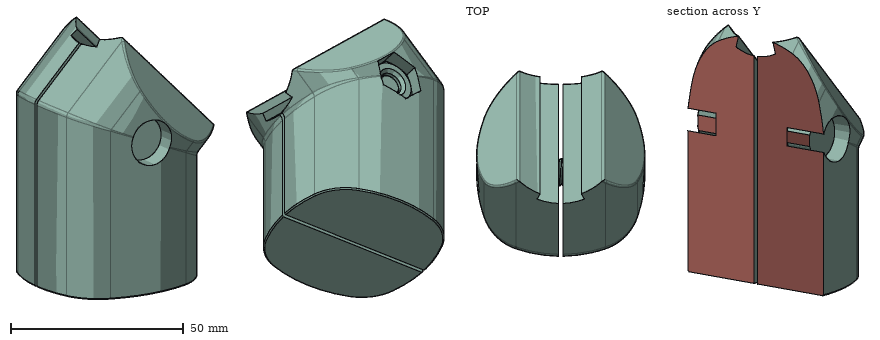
import cadquery as cq
import math

section_width = 49.0
side_arc_radius = 40.0
corner_radius = 15.0

bend_height = 46.0
bend_angle = 45.0
bend_fillet = 2.0
foot_chamfer = 0.4
split_gap = 1.2

pipe_axis_reach = 31.6
pipe_radius = 17.5
saddle_half_angle = 45.0
saddle_edge_fillet = 0.75
groove_radius = 20.0
groove_half_angle = 20.0

screw_radius = 4.0
screw_length = 30.0
screw_tip_x = -18.9
thread_pitch = 1.25
thread_core_radius = 3.55
thread_length = 22.0
thread_half_angle = 45.0
thread_overcut = 0.1
thread_start_angle = 70.0
tip_radius = 3.05
head_radius = 6.5
head_height = 8.0
head_clearance = 0.3

nut_across_flats = 13.0
nut_thickness = 6.5
nut_outer_x = -20.5
nut_face_radius = 6.4
nut_chamfer_angle = 30.0
nut_countersink_radius = 4.55
nut_turn = 15.0
nut_pocket_clearance = 0.35

bend_fillet_start = 4.0

beyond = 240.0
head_stock = 60.0
tolerance = 1e-3

half_width = section_width / 2
head_seat_x = screw_tip_x + screw_length
nut_seat_x = nut_outer_x + nut_thickness
bend_rad = math.radians(bend_angle)
head_axis = cq.Vector(0, math.sin(bend_rad), math.cos(bend_rad))
miter_normal = cq.Vector(0, math.sin(bend_rad / 2), math.cos(bend_rad / 2))
pipe_axis = cq.Vector(1, 0, 0).cross(head_axis)
elbow = cq.Vector(0, 0, bend_height)

ground = cq.Plane.XY()
miter_plane = cq.Plane(origin=elbow, xDir=(1, 0, 0), normal=miter_normal)
head_plane = cq.Plane(origin=elbow, xDir=(1, 0, 0), normal=head_axis)
saddle_plane = cq.Plane(origin=elbow, xDir=(1, 0, 0), normal=pipe_axis)


def polar(radius, angle):
    """Coordinates of a point at an angle in degrees."""
    return radius * math.cos(math.radians(angle)), radius * math.sin(math.radians(angle))


def quarter_turned(point, turns):
    """Point turned about the section centre by whole quarter turns."""
    x, y = point
    for _ in range(turns):
        x, y = -y, x
    return x, y


def section(plane):
    """Closed squircle outline: four shallow side arcs joined by tangent corner arcs."""
    side_offset = side_arc_radius - half_width
    centre_distance = side_arc_radius - corner_radius
    corner = (math.sqrt(2 * centre_distance**2 - side_offset**2) - side_offset) / 2
    side_half_angle = math.asin(corner / centre_distance)
    join_along = side_arc_radius * math.sin(side_half_angle)
    join_out = side_arc_radius * math.cos(side_half_angle) - side_offset
    corner_mid = corner + corner_radius * math.sqrt(0.5)

    outline = cq.Workplane(plane).moveTo(join_out, -join_along)
    for turns in range(4):
        side_mid = quarter_turned((half_width, 0), turns)
        side_end = quarter_turned((join_out, join_along), turns)
        corner_middle = quarter_turned((corner_mid, corner_mid), turns)
        corner_end = quarter_turned((join_along, join_out), turns)
        outline = outline.threePointArc(side_mid, side_end).threePointArc(corner_middle, corner_end)
    return outline.close()


def bent_block():
    """Upright and tilted prisms meeting on the miter plane."""
    above_miter = cq.Workplane(miter_plane).rect(beyond, beyond).extrude(beyond)
    below_miter = cq.Workplane(miter_plane).rect(beyond, beyond).extrude(-beyond)
    upright = section(ground).extrude(bend_height + head_stock).cut(above_miter)
    upright = upright.faces("<Z").chamfer(foot_chamfer)
    tilted = section(head_plane).extrude(head_stock, both=True).cut(below_miter)
    return upright.union(tilted)


def on_miter(edge):
    """True when the whole edge lies in the miter plane."""
    return all(abs(miter_plane.toLocalCoords(edge.positionAt(t)).z) < tolerance for t in (0, 0.5, 1))


def rounded_bend(block):
    """Round the outer bend edge and fill the inner one."""
    rounded = block.intersect(cq.Workplane().box(beyond, 2 * bend_fillet_start, 2 * beyond))
    for side in (-1, 1):
        slab = cq.Workplane().box(beyond, beyond, 2 * beyond)
        slab = slab.translate((0, side * (beyond / 2 + bend_fillet_start), 0))
        portion = block.intersect(slab)
        bend_edges = [edge for edge in portion.edges("%ELLIPSE").vals() if on_miter(edge)]
        rounded = rounded.union(portion.newObject(bend_edges).fillet(bend_fillet))
    return rounded


def saddle_cutter():
    """Quarter of the pipe with the space above its two radial faces."""
    edge_x, edge_drop = polar(pipe_radius, 90 - saddle_half_angle)
    far_x, far_drop = polar(beyond, 90 - saddle_half_angle)
    return (
        cq.Workplane(saddle_plane)
        .moveTo(-far_x, pipe_axis_reach - far_drop)
        .lineTo(-edge_x, pipe_axis_reach - edge_drop)
        .threePointArc((0, pipe_axis_reach - pipe_radius), (edge_x, pipe_axis_reach - edge_drop))
        .lineTo(far_x, pipe_axis_reach - far_drop)
        .lineTo(far_x, beyond)
        .lineTo(-far_x, beyond)
        .close()
        .extrude(beyond, both=True)
    )


def groove_cutter():
    """Shallow channel with radial walls along the bottom of the saddle."""
    outer_x, outer_drop = polar(groove_radius, 90 - groove_half_angle)
    return (
        cq.Workplane(saddle_plane)
        .moveTo(0, pipe_axis_reach)
        .lineTo(-outer_x, pipe_axis_reach - outer_drop)
        .threePointArc((0, pipe_axis_reach - groove_radius), (outer_x, pipe_axis_reach - outer_drop))
        .close()
        .extrude(beyond, both=True)
    )


def saddled_block():
    """Bent block with the pipe saddle, its rounded rims and its groove."""
    block = rounded_bend(bent_block()).cut(saddle_cutter())
    side_lean = math.cos(math.radians(saddle_half_angle))
    flat_faces = block.faces("%PLANE").vals()
    radial_faces = [face for face in flat_faces if abs(abs(face.normalAt().x) - side_lean) < tolerance]
    rims = [edge for face in radial_faces for edge in face.Edges()]
    return block.newObject(rims).fillet(saddle_edge_fillet).cut(groove_cutter())


def along_screw(x):
    """Workplane square to the screw axis, facing +X."""
    return cq.Workplane(cq.Plane(origin=(x, 0, bend_height), xDir=(0, 1, 0), normal=(1, 0, 0)))


def nut_prism(x, across_flats, length):
    """Hexagonal prism starting at x."""
    corner_diameter = across_flats / math.cos(math.pi / 6)
    outline = along_screw(x).transformed(rotate=(0, 0, nut_turn)).polygon(6, corner_diameter)
    return outline.extrude(length)


def shell_halves():
    """The two halves of the block: -X takes the nut, +X takes the screw head."""
    block = saddled_block()
    block = block.cut(cq.Workplane().box(split_gap, beyond, beyond))
    block = block.cut(along_screw(-beyond / 2).circle(screw_radius).extrude(beyond))
    pocket_flats = nut_across_flats + 2 * nut_pocket_clearance
    block = block.cut(nut_prism(nut_seat_x, pocket_flats, -beyond))
    block = block.cut(along_screw(head_seat_x).circle(head_radius + head_clearance).extrude(beyond))
    return block.solids("<X"), block.solids(">X")


def thread_groove():
    """Helical V groove, entering before the tip."""
    depth = screw_radius - thread_core_radius
    half_opening = depth * math.tan(math.radians(thread_half_angle))
    crest = screw_radius + thread_overcut
    crest_opening = half_opening * (depth + thread_overcut) / depth
    helix = cq.Wire.makeHelix(thread_pitch, thread_length + thread_pitch, screw_radius)
    groove = (
        cq.Workplane("XZ")
        .polyline([(thread_core_radius, 0), (crest, crest_opening), (crest, -crest_opening)])
        .close()
        .sweep(cq.Workplane(helix), isFrenet=True)
    )
    groove = groove.rotate((0, 0, 0), (0, 0, 1), thread_start_angle)
    start = along_screw(screw_tip_x - thread_pitch).plane
    return cq.Workplane(groove.val().located(start.location))


def clamping_screw():
    """Threaded shank with a chamfered tip and a plain round head."""
    shank = along_screw(screw_tip_x).circle(screw_radius).extrude(screw_length)
    shank = shank.faces("<X").chamfer(screw_radius - tip_radius)
    head = along_screw(head_seat_x).circle(head_radius).extrude(head_height)
    return shank.cut(thread_groove()).union(head)


def clamping_nut(screw):
    """Hex nut, chamfered and countersunk on its outer face, fitted to the screw thread."""
    blank = nut_prism(nut_seat_x, nut_across_flats, -nut_thickness)
    cone_slope = math.tan(math.radians(nut_chamfer_angle))
    cone_base = nut_face_radius + nut_thickness / cone_slope
    outer_cone = (
        along_screw(nut_outer_x)
        .circle(nut_face_radius)
        .workplane(offset=nut_thickness)
        .circle(cone_base)
        .loft(ruled=True)
    )
    bore = along_screw(nut_outer_x).circle(thread_core_radius).extrude(nut_thickness)
    countersink = (
        along_screw(nut_outer_x)
        .circle(nut_countersink_radius)
        .workplane(offset=nut_countersink_radius - thread_core_radius)
        .circle(thread_core_radius)
        .loft(ruled=True)
    )
    return blank.intersect(outer_cone).cut(bore).cut(countersink).cut(screw)


nut_half, head_half = shell_halves()
screw = clamping_screw()
nut = clamping_nut(screw)

result = cq.Compound.makeCompound([nut_half.val(), head_half.val(), screw.val(), nut.val()])